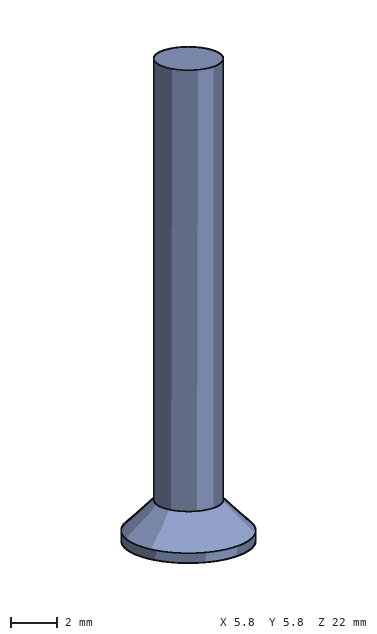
import cadquery as cq

shank_diameter = 3.0
head_diameter = 5.8
total_length = 22.0
rim_height = 0.46

shank_radius = shank_diameter / 2
head_radius = head_diameter / 2
cone_height = head_radius - shank_radius
head_height = rim_height + cone_height

half_section = (
    cq.Workplane("XZ")
    .moveTo(0, 0)
    .lineTo(head_radius, 0)
    .lineTo(head_radius, rim_height)
    .lineTo(shank_radius, head_height)
    .lineTo(shank_radius, total_length)
    .lineTo(0, total_length)
    .close()
)

result = half_section.revolve(360, (0, 0, 0), (0, 1, 0))